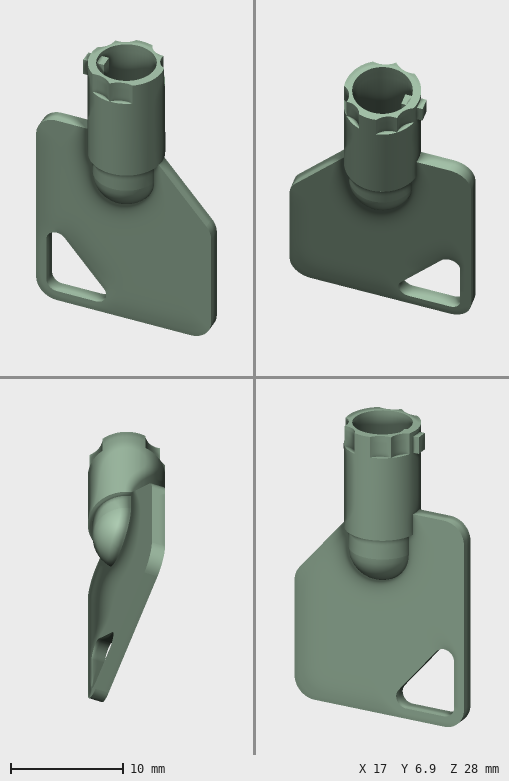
import cadquery as cq
import math

KEY_LENGTH = 28.0

BARREL_RADIUS = 3.45
BARREL_LENGTH = 10.0
BORE_RADIUS = 2.7
NECK_RADIUS = 3.03
NECK_LENGTH = 2.0
BARREL_BOTTOM = KEY_LENGTH - BARREL_LENGTH
NECK_BOTTOM = BARREL_BOTTOM - NECK_LENGTH

BLADE_WIDTH = 17.0
BLADE_HEIGHT = 20.0
BLADE_THICKNESS = 1.25
BLADE_CORNER_RADIUS = 2.0
SLOPE_END_HEIGHT = 12.0
HALF_WIDTH = BLADE_WIDTH / 2
SLOPE = (BARREL_BOTTOM - SLOPE_END_HEIGHT) / (HALF_WIDTH - BARREL_RADIUS)

HOLE_MARGIN = 1.0
HOLE_CORNER_RADIUS = 1.0
HOLE_CENTRE_RUN = 3.8

TAB_LENGTH = 2.0
TAB_WIDTH = 1.15
TAB_HEIGHT = 1.6
TAB_TOP_GAP = 0.45
TAB_PROJECTION = 0.5

NOTCH_DEPTH = 2.0
NOTCH_PAIRS = [
    (40.5, 31.0, 3.0),
    (130.5, 31.5, 3.04),
    (267.5, 35.0, 3.0),
]


def make_blade():
    """Flat handle with rounded corners, a sloped shoulder and a key-ring hole."""
    slope_top_x = HALF_WIDTH - (BLADE_HEIGHT - SLOPE_END_HEIGHT) / SLOPE
    outline = [
        (-HALF_WIDTH, 0),
        (HALF_WIDTH, 0),
        (HALF_WIDTH, SLOPE_END_HEIGHT),
        (slope_top_x, BLADE_HEIGHT),
        (-HALF_WIDTH, BLADE_HEIGHT),
    ]
    blade = cq.Workplane("XZ").polyline(outline).close().extrude(BLADE_THICKNESS / 2, both=True)
    blade = blade.faces("<X or >X").edges("|Y").fillet(BLADE_CORNER_RADIUS)

    left = -HALF_WIDTH + HOLE_MARGIN + HOLE_CORNER_RADIUS
    bottom = HOLE_MARGIN + HOLE_CORNER_RADIUS
    corner_centres = [
        (left, bottom),
        (left + HOLE_CENTRE_RUN, bottom),
        (left, bottom + HOLE_CENTRE_RUN * SLOPE),
    ]
    hole = (
        cq.Workplane("XZ")
        .polyline(corner_centres)
        .close()
        .offset2D(HOLE_CORNER_RADIUS)
        .extrude(BLADE_THICKNESS, both=True)
    )
    return blade.cut(hole)


def round_ended_rod(radius, bottom, top):
    """Vertical rod on the Z axis with a half ball below its bottom."""
    rod = cq.Workplane("XY").workplane(offset=bottom).circle(radius).extrude(top - bottom)
    ball = cq.Workplane("XY").sphere(radius).translate((0, 0, bottom))
    return rod.union(ball)


def make_barrel():
    """Barrel tube joined to its narrower round-ended neck, not yet bored."""
    tube = (
        cq.Workplane("XY")
        .workplane(offset=BARREL_BOTTOM)
        .circle(BARREL_RADIUS)
        .extrude(BARREL_LENGTH)
    )
    return tube.union(round_ended_rod(NECK_RADIUS, NECK_BOTTOM, BARREL_BOTTOM))


def make_notch(angle, span, floor_radius):
    """Round cutter that meets the barrel surface across the span and reaches the floor radius."""
    half_span = math.radians(span / 2)
    half_chord = BARREL_RADIUS * math.sin(half_span)
    sagitta = BARREL_RADIUS * math.cos(half_span) - floor_radius
    cutter_radius = (half_chord**2 + sagitta**2) / (2 * sagitta)
    return (
        cq.Workplane("XY")
        .workplane(offset=KEY_LENGTH - NOTCH_DEPTH)
        .center(floor_radius + cutter_radius, 0)
        .circle(cutter_radius)
        .extrude(NOTCH_DEPTH)
        .rotate((0, 0, 0), (0, 0, 1), angle)
    )


def make_tab():
    """Small block passing through the barrel wall on the -X side."""
    centre_x = -BARREL_RADIUS - TAB_PROJECTION + TAB_LENGTH / 2
    centre_z = KEY_LENGTH - TAB_TOP_GAP - TAB_HEIGHT / 2
    return cq.Workplane("XY").box(TAB_LENGTH, TAB_WIDTH, TAB_HEIGHT).translate((centre_x, 0, centre_z))


result = make_blade().union(make_barrel())
result = result.cut(round_ended_rod(BORE_RADIUS, NECK_BOTTOM, KEY_LENGTH))
for middle_angle, span, floor_radius in NOTCH_PAIRS:
    for side in (-1, 1):
        result = result.cut(make_notch(middle_angle + side * span / 2, span, floor_radius))
result = result.union(make_tab())